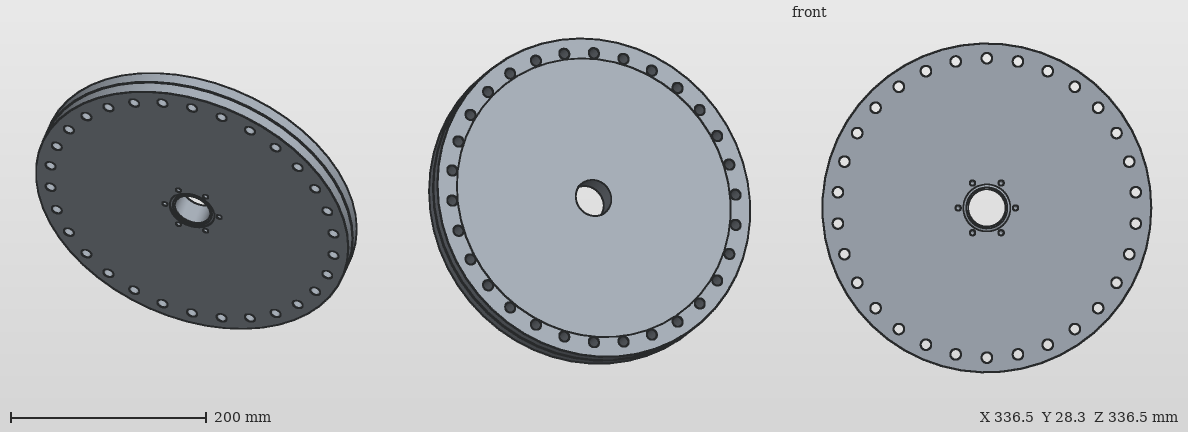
import cadquery as cq
import math

disc_diameter = 336.5
disc_thickness = 28.3
edge_chamfer = 0.5

back_recess_diameter = 294.2
back_recess_depth = 1.0

rim_groove_width = 1.7
rim_groove_depth = 0.85

bolt_count = 30
bolt_hole_diameter = 10.5
bolt_circle_diameter = 306.0

bore_diameter = 38.0
recess_diameter = 48.0
knife_diameter = 42.0
knife_tip_depth = 0.7
knife_slope_angle = 20.0
recess_floor_depth = 1.7

port_hole_count = 6
port_hole_diameter = 5.0
port_hole_circle_diameter = 58.5
port_hole_depth = 13.5
drill_point_angle = 118.0

hole_mouth_chamfer = 0.4

disc_radius = disc_diameter / 2
front_y = -disc_thickness / 2
back_y = disc_thickness / 2


def revolve_about_y(points):
    """Revolve a closed (radius, y) outline around the Y axis."""
    return cq.Workplane("XY").polyline(points).close().revolve(360, (0, 0, 0), (0, 1, 0))


def polar_points(count, circle_diameter, start_angle):
    """Evenly spaced (x, z) points on a circle around the Y axis."""
    points = []
    for index in range(count):
        angle = math.radians(start_angle + index * 360 / count)
        points.append((circle_diameter / 2 * math.cos(angle), circle_diameter / 2 * math.sin(angle)))
    return points


def make_disc():
    half_groove = rim_groove_width / 2
    return revolve_about_y([
        (0, front_y),
        (disc_radius - edge_chamfer, front_y),
        (disc_radius, front_y + edge_chamfer),
        (disc_radius, -half_groove),
        (disc_radius - rim_groove_depth, 0),
        (disc_radius, half_groove),
        (disc_radius, back_y - edge_chamfer),
        (disc_radius - edge_chamfer, back_y),
        (0, back_y),
    ])


def make_port_cutter():
    """Bore, recess and sloped knife edge, as the volume to remove."""
    bore_radius = bore_diameter / 2
    knife_radius = knife_diameter / 2
    recess_radius = recess_diameter / 2
    slope_drop = (recess_radius - knife_radius) * math.tan(math.radians(knife_slope_angle))
    return revolve_about_y([
        (0, front_y),
        (recess_radius, front_y),
        (recess_radius, front_y + knife_tip_depth + slope_drop),
        (knife_radius, front_y + knife_tip_depth),
        (knife_radius, front_y + recess_floor_depth),
        (bore_radius, front_y + recess_floor_depth),
        (bore_radius, back_y),
        (0, back_y),
    ])


def make_back_recess():
    return revolve_about_y([
        (0, back_y - back_recess_depth),
        (back_recess_diameter / 2, back_y - back_recess_depth),
        (back_recess_diameter / 2, back_y),
        (0, back_y),
    ])


def make_bolt_hole():
    """Through hole with both mouths chamfered."""
    radius = bolt_hole_diameter / 2
    mouth_radius = radius + hole_mouth_chamfer
    return revolve_about_y([
        (0, front_y),
        (mouth_radius, front_y),
        (radius, front_y + hole_mouth_chamfer),
        (radius, back_y - hole_mouth_chamfer),
        (mouth_radius, back_y),
        (0, back_y),
    ])


def make_port_hole():
    """Blind hole with a chamfered mouth and a drill point at the bottom."""
    radius = port_hole_diameter / 2
    point_length = radius / math.tan(math.radians(drill_point_angle / 2))
    return revolve_about_y([
        (0, front_y),
        (radius + hole_mouth_chamfer, front_y),
        (radius, front_y + hole_mouth_chamfer),
        (radius, front_y + port_hole_depth),
        (0, front_y + port_hole_depth + point_length),
    ])


result = make_disc().cut(make_port_cutter()).cut(make_back_recess())

bolt_hole = make_bolt_hole()
port_hole = make_port_hole()

for x, z in polar_points(bolt_count, bolt_circle_diameter, 90):
    result = result.cut(bolt_hole.translate((x, 0, z)))

for x, z in polar_points(port_hole_count, port_hole_circle_diameter, 0):
    result = result.cut(port_hole.translate((x, 0, z)))